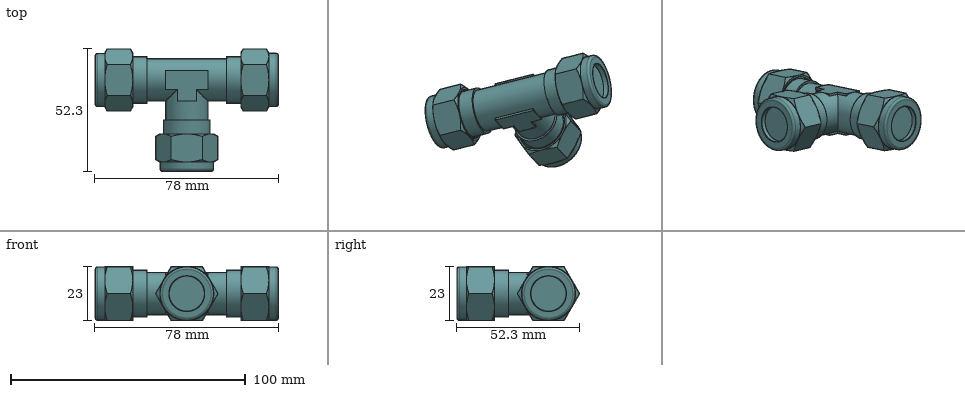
import cadquery as cq
import math

arm_length = 39.0
tube_radius = 9.05
collar_radius = 10.0
collar_start = 17.0

nut_start = 23.0
nut_end = 34.95
nut_sides = 6
nut_flats = 23.0
nut_recess_radius = 10.7
nut_recess_depth = 0.4
chamfer_angle = 30.0
end_radius = 11.4
end_fillet = 1.0
socket_radius = 7.5
socket_depth = 2.2
mouth_chamfer = 0.15

pad_half_width = 4.05

nut_length = nut_end - nut_start
nut_corner_radius = nut_flats / 2 / math.cos(math.pi / nut_sides)
chamfer_height = (nut_corner_radius - nut_flats / 2) * math.tan(math.radians(chamfer_angle))


def rod(radius, start, end):
    """Cylinder on the Z axis between two heights."""
    return cq.Workplane("XY").workplane(offset=start).circle(radius).extrude(end - start)


def make_nut():
    """Hexagonal nut on the Z axis, coned at both ends and recessed at its inner end."""
    hexagon = (
        cq.Workplane("XY")
        .workplane(offset=nut_start)
        .polygon(nut_sides, 2 * nut_corner_radius)
        .extrude(nut_length)
    )
    chamfered_disc = (
        cq.Workplane("XZ")
        .moveTo(0, nut_start)
        .lineTo(nut_flats / 2, nut_start)
        .lineTo(nut_corner_radius, nut_start + chamfer_height)
        .lineTo(nut_corner_radius, nut_end - chamfer_height)
        .lineTo(nut_flats / 2, nut_end)
        .lineTo(0, nut_end)
        .close()
        .revolve()
    )
    gap = nut_recess_radius - collar_radius
    floor_start = nut_start + nut_recess_depth
    recess = (
        cq.Workplane("XZ")
        .moveTo(collar_radius, nut_start)
        .lineTo(nut_recess_radius, nut_start)
        .lineTo(nut_recess_radius, floor_start + gap)
        .lineTo(collar_radius, floor_start)
        .close()
        .revolve()
    )
    return hexagon.intersect(chamfered_disc).cut(recess)


def make_fitting():
    """Collar, nut and socketed round end of one arm, pointing along +Z."""
    collar = rod(collar_radius, collar_start, nut_end)
    round_end = rod(end_radius, nut_end, arm_length).faces(">Z").edges().fillet(end_fillet)
    socket = rod(socket_radius, arm_length - socket_depth, arm_length)
    mouth = (
        cq.Workplane("XY")
        .workplane(offset=arm_length)
        .circle(socket_radius + mouth_chamfer)
        .extrude(-mouth_chamfer, taper=45)
    )
    return collar.union(make_nut()).union(round_end).cut(socket).cut(mouth)


def make_pads():
    """T-shaped block whose top and bottom faces touch the crowns of the tubes."""
    run = cq.Workplane("XY").box(2 * tube_radius, 2 * pad_half_width, 2 * tube_radius)
    stem = (
        cq.Workplane("XY")
        .center(0, -tube_radius / 2)
        .box(2 * pad_half_width, tube_radius, 2 * tube_radius)
    )
    return run.union(stem)


run_tube = rod(tube_radius, -nut_start, nut_start).rotate((0, 0, 0), (0, 1, 0), 90)
branch_tube = rod(tube_radius, 0, nut_start).rotate((0, 0, 0), (1, 0, 0), 90)
result = run_tube.union(branch_tube).union(make_pads())

branch_fitting = make_fitting().rotate((0, 0, 0), (1, 0, 0), 90)
for turn in (-90, 0, 90):
    result = result.union(branch_fitting.rotate((0, 0, 0), (0, 0, 1), turn))